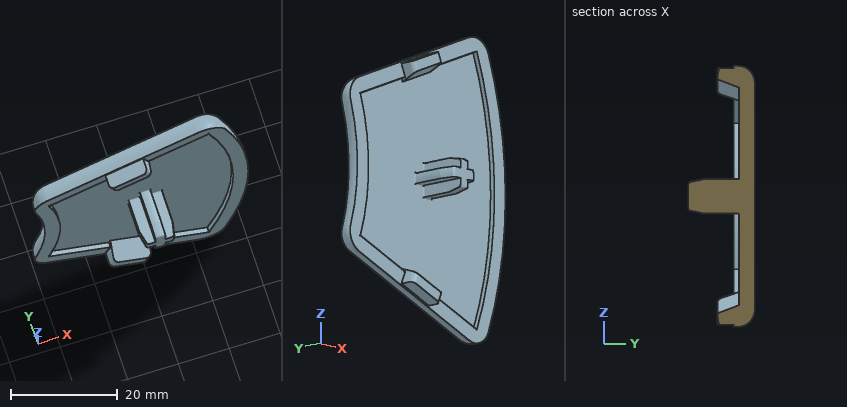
import cadquery as cq
import math

inner_radius = 40.0
outer_radius = 80.0
half_angle = 22.5
mid_radius = (inner_radius + outer_radius) / 2
plate_thickness = 4.0
corner_radius = 4.0
edge_fillet = 3.0

rim_width = 3.0
recess_depth = 1.0
recess_floor = recess_depth

stem_height = 8.5
stem_diameter = 6.8
stem_arm_width = 2.0
stem_taper_length = 3.0
stem_taper_depth = 0.6
stem_tip_fillet = 0.5
stem_root_fillet = 0.2

tab_length = 8.0
tab_height = 3.0
tab_side_gap = 0.35
tab_base_width = 3.45
tab_tip_width = 2.05
tab_end_fillet = 1.0


def sector(radius_in, radius_out, side_inset):
    """Closed ring-sector outline with its straight sides moved inward by side_inset."""

    def side_corner(radius):
        angle = math.radians(half_angle) - math.asin(side_inset / radius)
        return radius * math.cos(angle), radius * math.sin(angle)

    x_in, z_in = side_corner(radius_in)
    x_out, z_out = side_corner(radius_out)
    return (
        cq.Workplane("XZ")
        .moveTo(x_in, -z_in)
        .lineTo(x_out, -z_out)
        .threePointArc((radius_out, 0), (x_out, z_out))
        .lineTo(x_in, z_in)
        .threePointArc((radius_in, 0), (x_in, -z_in))
        .close()
    )


def make_plate():
    plate = sector(inner_radius, outer_radius, 0).extrude(-plate_thickness)
    plate = plate.edges("|Y").fillet(corner_radius)
    plate = plate.faces(">Y").edges().fillet(edge_fillet)
    recess = sector(inner_radius + rim_width, outer_radius - rim_width, rim_width).extrude(-recess_depth)
    return plate.cut(recess)


def make_stem_envelope():
    """Round pin about the Y axis, tapered towards a rounded tip."""
    radius = stem_diameter / 2
    return (
        cq.Workplane("XY")
        .moveTo(0, recess_floor)
        .lineTo(radius, recess_floor)
        .lineTo(radius, stem_taper_length - stem_height)
        .lineTo(radius - stem_taper_depth, -stem_height)
        .lineTo(0, -stem_height)
        .close()
        .revolve(360, (0, 0, 0), (0, 1, 0))
        .faces("<Y")
        .edges()
        .fillet(stem_tip_fillet)
    )


def make_stem():
    cross_section = (
        cq.Sketch()
        .rect(stem_diameter, stem_arm_width)
        .rect(stem_arm_width, stem_diameter)
        .clean()
    )
    cross_length = stem_height + recess_depth
    cross = cq.Workplane("XZ", origin=(0, recess_floor, 0)).placeSketch(cross_section).extrude(cross_length)
    return cross.intersect(make_stem_envelope()).translate((mid_radius, 0, 0))


def add_stem(plate):
    """Join the stem to the recess floor and round its root."""
    joined = plate.union(make_stem())
    root_size = stem_diameter + stem_root_fillet
    root_zone = cq.selectors.BoxSelector(
        (mid_radius - root_size / 2, recess_floor - stem_root_fillet, -root_size / 2),
        (mid_radius + root_size / 2, recess_floor + stem_root_fillet, root_size / 2),
    )
    return joined.edges(root_zone).fillet(stem_root_fillet)


def make_tab():
    """Tab on the +Z side: drawn along the X axis, then turned onto the straight side."""
    tab = (
        cq.Workplane("YZ")
        .moveTo(recess_floor, -tab_side_gap)
        .lineTo(-tab_height, -tab_side_gap)
        .lineTo(-tab_height, -tab_side_gap - tab_tip_width)
        .lineTo(recess_floor, -tab_side_gap - tab_base_width)
        .close()
        .extrude(tab_length / 2, both=True)
    )
    tab = tab.faces("<Y").edges("<X or >X").fillet(tab_end_fillet)
    return tab.translate((mid_radius, 0, 0)).rotate((0, 0, 0), (0, 1, 0), -half_angle)


upper_tab = make_tab()
lower_tab = upper_tab.mirror("XY")
result = add_stem(make_plate()).union(upper_tab).union(lower_tab)